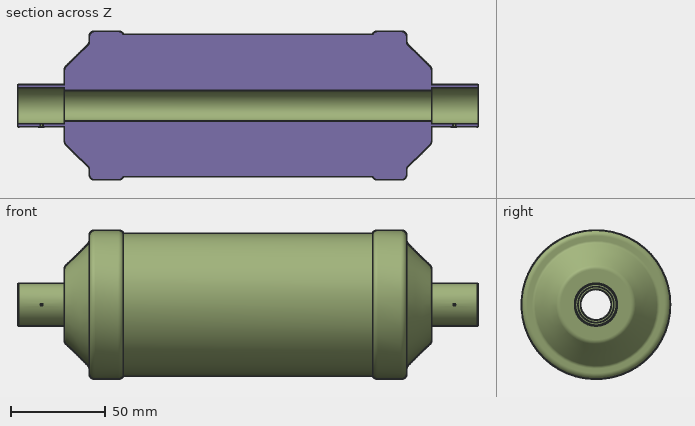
import cadquery as cq
import math

length = 244.0
half_length = length / 2

shell_radius = 76.0 / 2

band_radius = 79.0 / 2
band_face_inset = 37.8
band_round = 3.05
band_straight = 12.5

shoulder_inset = 24.6
shoulder_radius = 20.0
cone_base_radius = 33.0
shoulder_round = 3.05
cone_base_round = 2.07

tube_radius = 22.7 / 2
tip_chamfer = 0.5
socket_radius = 19.0 / 2
socket_depth = shoulder_inset
bore_radius = 16.0 / 2
pin_hole_diameter = 1.2
pin_hole_inset = 12.7


def make_body():
    """Revolve the left half profile about X, then mirror it."""
    shoulder_x = shoulder_inset - half_length
    band_face_x = band_face_inset - half_length
    band_start_x = band_face_x + band_round
    band_end_x = band_start_x + band_straight
    band_center_radius = band_radius - band_round

    shell_angle = math.asin((shell_radius - band_center_radius) / band_round)
    shell_start_x = band_end_x + band_round * math.cos(shell_angle)
    middle_angle = (math.pi / 2 + shell_angle) / 2
    edge_middle = (
        band_end_x + band_round * math.cos(middle_angle),
        band_center_radius + band_round * math.sin(middle_angle),
    )

    half = (
        cq.Workplane("XY")
        .moveTo(-half_length, 0)
        .lineTo(-half_length, tube_radius - tip_chamfer)
        .lineTo(tip_chamfer - half_length, tube_radius)
        .lineTo(shoulder_x, tube_radius)
        .lineTo(shoulder_x, shoulder_radius)
        .lineTo(band_face_x, cone_base_radius)
        .lineTo(band_face_x, band_center_radius)
        .radiusArc((band_start_x, band_radius), band_round)
        .lineTo(band_end_x, band_radius)
        .threePointArc(edge_middle, (shell_start_x, shell_radius))
        .lineTo(0, shell_radius)
        .lineTo(0, 0)
        .close()
        .revolve(360, (0, 0, 0), (1, 0, 0))
    )
    half = round_circle(half, shoulder_x, shoulder_radius, shoulder_round)
    half = round_circle(half, band_face_x, cone_base_radius, cone_base_round)
    return half.union(half.mirror("YZ"))


def round_circle(solid, x, radius, fillet_radius):
    """Fillet the circular edge of the given radius at position x."""
    reach = 0.12
    outer = cq.selectors.BoxSelector(
        (x - reach, -radius - reach, -radius - reach),
        (x + reach, radius + reach, radius + reach),
        boundingbox=True,
    )
    inside = radius - reach
    inner = cq.selectors.BoxSelector(
        (x - reach, -inside, -inside),
        (x + reach, inside, inside),
        boundingbox=True,
    )
    return solid.edges(outer - inner).fillet(fillet_radius)


def cut_bores(body):
    """Cut the through bore and the wider socket in each tube."""
    bore = cq.Workplane("YZ").circle(bore_radius).extrude(half_length, both=True)
    body = body.cut(bore)
    for start in (-half_length, half_length - socket_depth):
        socket = cq.Workplane("YZ", origin=(start, 0, 0)).circle(socket_radius).extrude(socket_depth)
        body = body.cut(socket)
    return body


def cut_pin_holes(body):
    """Drill a small radial hole through the -Y wall of each tube."""
    hole_x = half_length - pin_hole_inset
    holes = (
        cq.Workplane("XZ")
        .pushPoints([(-hole_x, 0), (hole_x, 0)])
        .circle(pin_hole_diameter / 2)
        .extrude(band_radius)
    )
    return body.cut(holes)


result = cut_pin_holes(cut_bores(make_body()))